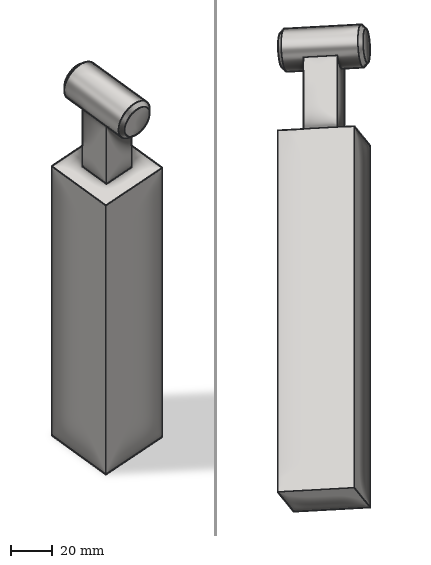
import cadquery as cq

total_height = 234.0
body_width = 37.5
body_height = 179.0
stem_width = 16.5

bar_length = 41.7
bar_diameter = 20.8
bar_chamfer = 2.0
bar_axis_height = total_height - bar_diameter / 2


def make_body():
    """Square block standing on the XY plane."""
    return cq.Workplane("XY").rect(body_width, body_width).extrude(body_height)


def make_stem():
    """Square post from the top of the body to the axis of the crossbar."""
    return (
        cq.Workplane("XY")
        .workplane(offset=body_height)
        .rect(stem_width, stem_width)
        .extrude(bar_axis_height - body_height)
    )


def make_crossbar():
    """Round bar with both end edges chamfered."""
    return (
        cq.Workplane("YZ")
        .workplane(offset=-bar_length / 2)
        .center(0, bar_axis_height)
        .circle(bar_diameter / 2)
        .extrude(bar_length)
        .faces("<X or >X")
        .chamfer(bar_chamfer)
    )


result = make_body().union(make_stem()).union(make_crossbar())